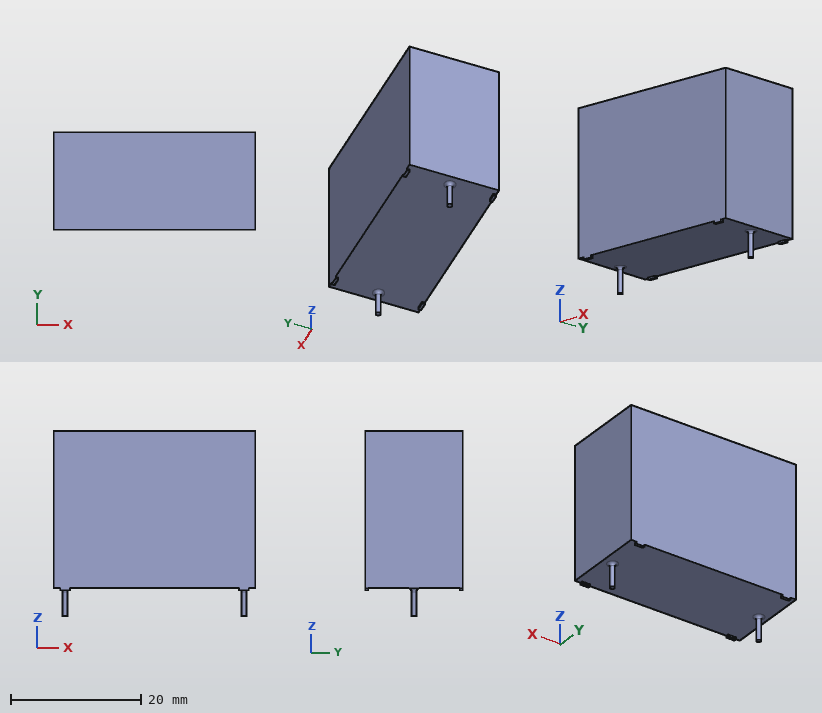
import cadquery as cq

LENGTH = 31.0
WIDTH = 15.0
TOTAL_HEIGHT = 28.5

FOOT_LENGTH = 1.52
FOOT_END_INSET = 1.02
FOOT_WIDTH = 0.5
FOOT_HEIGHT = 0.35

PIN_DIAMETER = 0.8
PIN_PITCH = 27.5
PIN_BELOW_FEET = 3.97
FLARE_RADIUS = 0.53

PIN_LENGTH = PIN_BELOW_FEET + FOOT_HEIGHT
CASE_HEIGHT = TOTAL_HEIGHT - PIN_LENGTH
PIN_X = PIN_PITCH / 2
PIN_RADIUS = PIN_DIAMETER / 2
FOOT_X = (LENGTH - FOOT_LENGTH) / 2 - FOOT_END_INSET
FOOT_Y = (WIDTH - FOOT_WIDTH) / 2


def make_case():
    """Plain rectangular case standing on the plane Z = 0."""
    return cq.Workplane("XY").box(LENGTH, WIDTH, CASE_HEIGHT, centered=(True, True, False))


def make_foot(x, y):
    """Small block hanging below the case, flush with its long side."""
    block = cq.Workplane("XY").box(FOOT_LENGTH, FOOT_WIDTH, FOOT_HEIGHT, centered=(True, True, False))
    return block.translate((x, y, -FOOT_HEIGHT))


def make_pin(x):
    """Round lead whose upper end flares out tangent to the case bottom."""
    arc_offset = FLARE_RADIUS * (1 - 0.5 ** 0.5)
    profile = (
        cq.Workplane("XZ")
        .moveTo(0, 0)
        .lineTo(PIN_RADIUS + FLARE_RADIUS, 0)
        .threePointArc((PIN_RADIUS + arc_offset, -arc_offset), (PIN_RADIUS, -FLARE_RADIUS))
        .lineTo(PIN_RADIUS, -PIN_LENGTH)
        .lineTo(0, -PIN_LENGTH)
        .close()
    )
    return profile.revolve(360, (0, 0, 0), (0, 1, 0)).translate((x, 0, 0))


result = make_case()
for side_x in (-1, 1):
    result = result.union(make_pin(side_x * PIN_X))
    for side_y in (-1, 1):
        result = result.union(make_foot(side_x * FOOT_X, side_y * FOOT_Y))